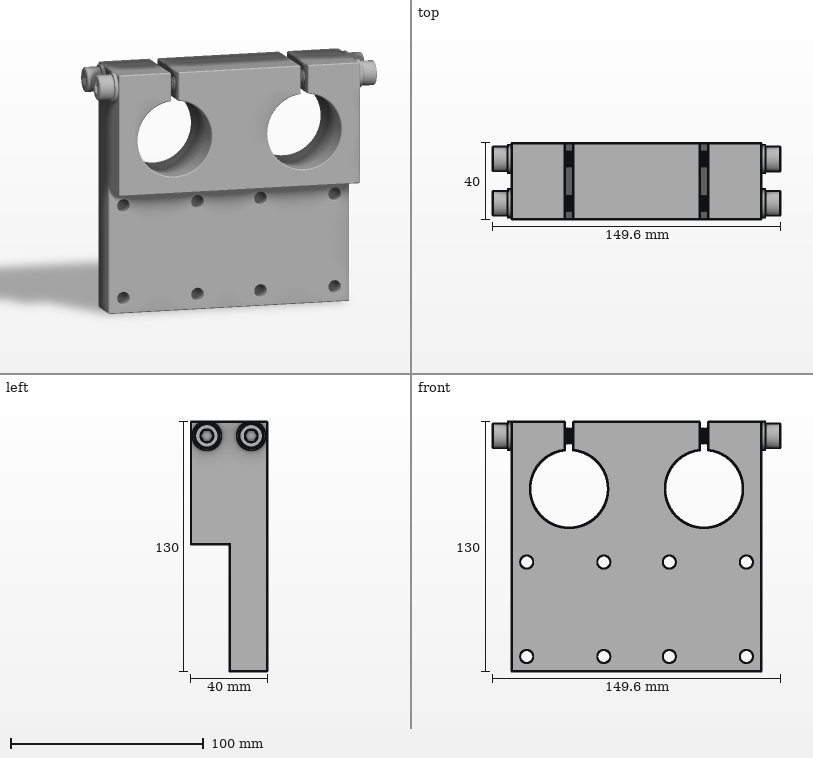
import cadquery as cq
import math

BLOCK_WIDTH = 130.0
BLOCK_HEIGHT = 130.0
BLOCK_DEPTH = 40.0
PLATE_DEPTH = BLOCK_DEPTH / 2
CLAMP_HEIGHT = 64.0
EDGE_CHAMFER = 0.5

BORE_DIAMETER = 40.0
BORE_OFFSET_X = 35.0
BORE_Z = BLOCK_HEIGHT - 35.0
SLOT_WIDTH = 4.0

MOUNT_DIAMETER = 6.6
MOUNT_CHAMFER = 0.2
MOUNT_XS = (-57.0, -17.0, 17.0, 57.0)
MOUNT_ZS = (8.0, 57.0)

WASHER_DIAMETER = 15.0
WASHER_BORE = 8.4
WASHER_THICKNESS = 1.8

THREAD_DIAMETER = 8.0
THREAD_ROOT_DIAMETER = 6.38
THREAD_PITCH = 1.25
CREST_WIDTH = THREAD_PITCH / 8
ROOT_WIDTH = THREAD_PITCH / 4
SCREW_LENGTH = 50.0
PLAIN_LENGTH = 22.0
HEAD_DIAMETER = 13.0
HEAD_HEIGHT = 8.0
HEAD_TOP_CHAMFER = 0.5
HEAD_BASE_CHAMFER = 0.3
SOCKET_WIDTH = 6.0
SOCKET_CORNER_DIAMETER = SOCKET_WIDTH / math.cos(math.pi / 6)
SOCKET_DEPTH = 4.0

SCREW_Z = BLOCK_HEIGHT - WASHER_DIAMETER / 2
SCREW_EDGE_DISTANCE = 8.5
SCREW_YS = (SCREW_EDGE_DISTANCE, BLOCK_DEPTH - SCREW_EDGE_DISTANCE)
CLEARANCE_DIAMETER = 8.4
CLEARANCE_DEPTH = BLOCK_WIDTH / 2 - BORE_OFFSET_X
SCREW_HOLE_DEPTH = SCREW_LENGTH

SIDES = (-1, 1)
SCREW_SPOTS = [(side, y) for side in SIDES for y in SCREW_YS]


def on_side_face(body, side, y):
    """Move a body pointing along +X from the origin so that it points into one side face of the block."""
    if side > 0:
        body = body.rotate((0, 0, 0), (0, 0, 1), 180)
    return body.translate((side * BLOCK_WIDTH / 2, y, SCREW_Z))


def stepped_body():
    """Thick clamp section above a thinner mounting plate, flush at the front."""
    step_z = BLOCK_HEIGHT - CLAMP_HEIGHT
    return (
        cq.Workplane("YZ")
        .polyline([
            (0, 0),
            (PLATE_DEPTH, 0),
            (PLATE_DEPTH, step_z),
            (BLOCK_DEPTH, step_z),
            (BLOCK_DEPTH, BLOCK_HEIGHT),
            (0, BLOCK_HEIGHT),
        ])
        .close()
        .extrude(BLOCK_WIDTH / 2, both=True)
    )


def slotted_bore(bore_x):
    """Clamping bore with the slot from its axis up to the top face."""
    bore = cq.Workplane("XZ").center(bore_x, BORE_Z).circle(BORE_DIAMETER / 2).extrude(-BLOCK_DEPTH)
    slot = (
        cq.Workplane("XY", origin=(bore_x, 0, BORE_Z))
        .box(SLOT_WIDTH, BLOCK_DEPTH, BLOCK_HEIGHT - BORE_Z, centered=(True, False, False))
    )
    return bore.union(slot)


def mounting_hole(x, z):
    """Hole through the plate, chamfered at both ends: a half profile turned about its own axis."""
    radius = MOUNT_DIAMETER / 2
    mouth_radius = radius + MOUNT_CHAMFER
    return (
        cq.Workplane("XY", origin=(x, 0, z))
        .polyline([
            (0, 0),
            (mouth_radius, 0),
            (radius, MOUNT_CHAMFER),
            (radius, PLATE_DEPTH - MOUNT_CHAMFER),
            (mouth_radius, PLATE_DEPTH),
            (0, PLATE_DEPTH),
        ])
        .close()
        .revolve(360, (0, 0, 0), (0, 1, 0))
    )


def screw_hole():
    clearance = cq.Workplane("YZ").circle(CLEARANCE_DIAMETER / 2).extrude(CLEARANCE_DEPTH)
    tapped = cq.Workplane("YZ").circle(THREAD_DIAMETER / 2).extrude(SCREW_HOLE_DEPTH)
    return clearance.union(tapped)


def make_block():
    block = stepped_body()
    for side in SIDES:
        block = block.cut(slotted_bore(side * BORE_OFFSET_X))
    block = block.faces("<X or >X or <Y or >Y or <Z or >Z").edges().chamfer(EDGE_CHAMFER)
    for x in MOUNT_XS:
        for z in MOUNT_ZS:
            block = block.cut(mounting_hole(x, z))
    for side, y in SCREW_SPOTS:
        block = block.cut(on_side_face(screw_hole(), side, y))
    return block


def make_washer():
    return (
        cq.Workplane("YZ")
        .circle(WASHER_DIAMETER / 2)
        .circle(WASHER_BORE / 2)
        .extrude(-WASHER_THICKNESS)
    )


def screw_shank():
    """Plain neck and a thread of ring grooves with sloping flanks, running along +X from the head seat."""
    crest = THREAD_DIAMETER / 2
    root = THREAD_ROOT_DIAMETER / 2
    flank = (THREAD_PITCH - CREST_WIDTH - ROOT_WIDTH) / 2
    groove_count = math.floor((SCREW_LENGTH - PLAIN_LENGTH) / THREAD_PITCH)
    outline = cq.Workplane("XY").lineTo(0, crest)
    for groove in range(groove_count):
        start = PLAIN_LENGTH + groove * THREAD_PITCH
        outline = (
            outline.lineTo(start, crest)
            .lineTo(start + flank, root)
            .lineTo(start + flank + ROOT_WIDTH, root)
            .lineTo(start + THREAD_PITCH - CREST_WIDTH, crest)
        )
    outline = outline.lineTo(SCREW_LENGTH, crest).lineTo(SCREW_LENGTH, 0).close()
    return outline.revolve(360, (0, 0, 0), (1, 0, 0))


def screw_head():
    """Cylindrical head with a hexagon socket, countersunk out to the hexagon's corners."""
    head = (
        cq.Workplane("YZ")
        .circle(HEAD_DIAMETER / 2)
        .extrude(-HEAD_HEIGHT)
        .faces("<X").edges().chamfer(HEAD_TOP_CHAMFER)
        .faces(">X").edges().chamfer(HEAD_BASE_CHAMFER)
    )
    head_top = cq.Workplane("YZ", origin=(-HEAD_HEIGHT, 0, 0))
    socket = head_top.polygon(6, SOCKET_CORNER_DIAMETER).extrude(SOCKET_DEPTH)
    countersink = head_top.circle(SOCKET_CORNER_DIAMETER / 2).extrude(SOCKET_CORNER_DIAMETER / 2, taper=45)
    return head.cut(socket).cut(countersink)


def make_screw():
    """Screw with its head seated on the outer face of the washer."""
    return screw_head().union(screw_shank()).translate((-WASHER_THICKNESS, 0, 0))


block = make_block()
washers = [on_side_face(make_washer(), side, y) for side, y in SCREW_SPOTS]
screws = [on_side_face(make_screw(), side, y) for side, y in SCREW_SPOTS]

result = cq.Compound.makeCompound([
    block.val(),
    *[washer.val() for washer in washers],
    *[screw.val() for screw in screws],
])